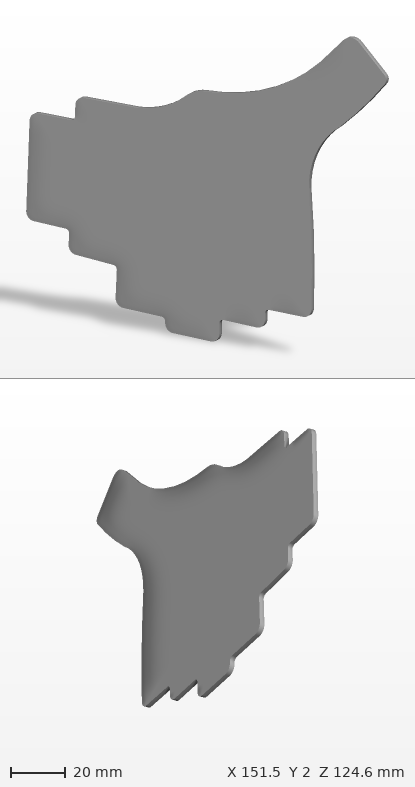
import cadquery as cq

thickness = 2.0

outer_radius = 3.3
notch_radius = 1.7
arm_upper_radius = 4.7
arm_lower_radius = 2.7

right_outer_corners = [(120.0, 15.0), (100.6, 8.0), (81.4, -0.2)]
right_notch_corners = [(100.6, 15.8), (81.4, 9.1)]
left_outer_corners = [(58.7, 1.0), (37.6, 7.6), (17.7, 25.0), (0.0, 35.2)]
left_notch_corners = [(58.7, 6.4), (38.3, 23.0), (18.3, 34.0)]
upper_outer_corners = [(1.7, 76.4), (20.9, 85.2)]
upper_notch_corners = [(20.6, 75.8)]

arm_upper_corner = (137.0, 126.5)
arm_lower_corner = (152.6, 110.8)

hollow_start = (47.0, 84.5)
hollow_middle = (58.4, 87.0)
hollow_end = (67.0, 92.0)
shoulder_middle = (70.5, 94.1)
shoulder_end = (74.7, 95.0)
sweep_start = (81.8, 95.3)
sweep_middle = (104.6, 101.0)
sweep_end = (124.0, 113.5)

underside_middle = (144.1, 101.1)
underside_end = (132.3, 90.0)
armpit_middle = (123.2, 80.3)
armpit_end = (119.1, 64.4)
side_middle = (120.3, 40.9)


def interleave(outer, notches):
    """Return the corners of a staircase, with a notch corner after each outer corner but the last."""
    points = [outer[0]]
    for notch, corner in zip(notches, outer[1:]):
        points += [notch, corner]
    return points


def sharp_plate():
    """Extrude the outline with every step and arm corner left sharp, centred on Y = 0."""
    step_points = (
        interleave(right_outer_corners, right_notch_corners)
        + interleave(left_outer_corners, left_notch_corners)
        + interleave(upper_outer_corners, upper_notch_corners)
    )
    outline = cq.Workplane("XZ", origin=(0, thickness / 2, 0)).polyline(step_points + [hollow_start])
    outline = (
        outline.threePointArc(hollow_middle, hollow_end)
        .threePointArc(shoulder_middle, shoulder_end)
        .lineTo(*sweep_start)
        .threePointArc(sweep_middle, sweep_end)
        .lineTo(*arm_upper_corner)
        .lineTo(*arm_lower_corner)
        .threePointArc(underside_middle, underside_end)
        .threePointArc(armpit_middle, armpit_end)
        .threePointArc(side_middle, step_points[0])
    )
    return outline.close().extrude(thickness)


def round_corners(plate, corners, radius):
    """Fillet the edges through the thickness at the given (x, z) corners."""
    for x, z in corners:
        plate = plate.edges(cq.selectors.NearestToPointSelector((x, 0, z))).fillet(radius)
    return plate


outer_corners = right_outer_corners + left_outer_corners + upper_outer_corners
notch_corners = right_notch_corners + left_notch_corners + upper_notch_corners

result = sharp_plate()
result = round_corners(result, outer_corners, outer_radius)
result = round_corners(result, notch_corners, notch_radius)
result = round_corners(result, [arm_upper_corner], arm_upper_radius)
result = round_corners(result, [arm_lower_corner], arm_lower_radius)